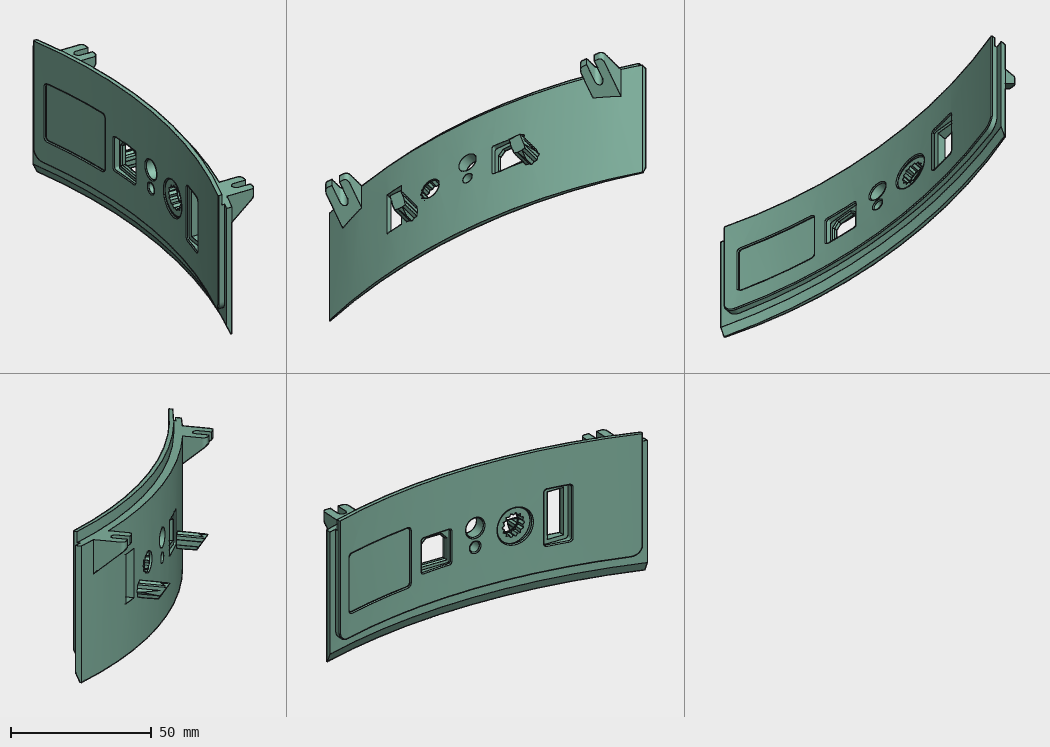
import cadquery as cq
import math


base_length = 135.5
base_height = 51.8
base_front_mid, base_front_radius = 12.2, 222.2
base_back_mid, base_back_radius = 15.2, 207.3
bottom_bevel_height = 3.7
bottom_bevel_depth = 1.6

panel_length = 129.5
panel_bottom = 7.7
panel_top = 56.0
panel_mid, panel_radius = 10.3, 206.0
panel_back_mid, panel_back_radius = 12.0, 203.2
panel_corner_radius = 4.3
rim_bevel = 0.4

screen_x, screen_z = -44.2, 29.0
screen_length, screen_height = 30.4, 23.0
screen_corner = 1.4
screen_depth = 0.7

socket_x, socket_z = -17.1, 27.5
socket_recess_length, socket_recess_height = 13.1, 13.4
socket_window_length, socket_window_height = 10.2, 10.0
socket_corner = 0.8
socket_clip = 2.0
socket_front_floor = 11.2
socket_back_floor = 13.0
socket_window_bevel = 0.5

slot_x, slot_z = 33.6, 29.0
slot_recess_length, slot_recess_height = 10.6, 22.0
slot_window_length, slot_window_height = 6.9, 18.7
slot_corner = 1.1
slot_floor = 9.3

large_hole_diameter, large_hole_z = 7.5, 31.8
small_hole_diameter, small_hole_z = 4.0, 24.3

spline_x, spline_z = 16.5, 28.5
spline_minor_diameter = 8.0
spline_major_diameter = 9.5
spline_teeth = 14
spline_floor = 13.8
counterbore_diameter = 14.0
counterbore_floor = 10.6

root_y = base_front_mid + 1.4

arm_x = 55.1
arm_width = 10.2
arm_tip = 17.9
arm_tip_height = 3.0
arm_slope = 0.86
arm_corner_radius = 1.6
fork_width = 3.3
fork_bottom = 11.4

post_spacing = 51.8
post_middle_x = -0.8
post_z = 21.3
post_diameter = 6.6
post_root_diameter = 5.4
post_teeth = 8
post_flat = 2.6
post_tip = 24.1
post_side_taper = 1.1
post_bevel_start = 21.0
post_tip_z = 23.5
post_slant_z = 18.7
post_under_start = 17.0

far = 81.3


def arc_end(mid, radius):
    """Y of an arc at the two ends of the base plate."""
    half = base_length / 2
    return mid - radius + math.sqrt(radius**2 - half**2)


def arc_band(front_mid, front_radius, back_mid, back_radius, height):
    """Full-length plate between two arcs in plan, standing on Z = 0."""
    half = base_length / 2
    return (
        cq.Workplane("XY")
        .moveTo(-half, arc_end(front_mid, front_radius))
        .threePointArc((0, front_mid), (half, arc_end(front_mid, front_radius)))
        .lineTo(half, arc_end(back_mid, back_radius))
        .threePointArc((0, back_mid), (-half, arc_end(back_mid, back_radius)))
        .close()
        .extrude(height)
    )


def front_plane(x, z):
    """Sketch plane at Y = 0 with local x along X and local y along Z."""
    return cq.Workplane("XZ", origin=(x, 0, z))


def prism(x, z, length, height, corner=0.0):
    """Box along Y with optionally rounded corners."""
    body = front_plane(x, z).rect(length, height).extrude(far, both=True)
    if corner:
        body = body.edges("|Y").fillet(corner)
    return body


def round_prism(x, z, diameter):
    """Cylinder along Y."""
    return front_plane(x, z).circle(diameter / 2).extrude(far, both=True)


def spline_points(root_diameter, tip_diameter, teeth):
    """Sawtooth ring alternating between the two diameters."""
    points = []
    for i in range(2 * teeth):
        radius = (tip_diameter if i % 2 == 0 else root_diameter) / 2
        angle = math.pi * i / teeth
        points.append((radius * math.cos(angle), radius * math.sin(angle)))
    return points


def curved_recess(outline, depth):
    """Part of a prism in front of the panel face moved back by depth."""
    in_front = arc_band(panel_mid - far, panel_radius, panel_mid + depth, panel_radius, panel_top)
    return outline.intersect(in_front)


def flat_recess(outline, floor):
    """Part of a prism in front of the plane Y = floor."""
    in_front = cq.Workplane("XZ", origin=(0, floor, 0)).rect(2 * far, 2 * far).extrude(far)
    return outline.intersect(in_front)


def bottom_bevel():
    """Cone around the axis of the front arc that bevels the lower front edge."""
    axis_y = base_front_mid - base_front_radius
    return (
        cq.Workplane("XZ", origin=(0, axis_y, 0))
        .polyline(
            [
                (0, 0),
                (base_front_radius + bottom_bevel_depth, 0),
                (base_front_radius, bottom_bevel_height),
                (0, bottom_bevel_height),
            ]
        )
        .close()
        .revolve(360, (0, 0), (0, 1))
    )


def base_plate():
    """Arched plate with its lower front edge bevelled."""
    plate = arc_band(base_front_mid, base_front_radius, base_back_mid, base_back_radius, base_height)
    return plate.cut(bottom_bevel())


def raised_panel():
    """Panel in front of the base plate, with a free lip above it."""
    height = panel_top - panel_bottom
    outline = prism(0, panel_bottom + height / 2, panel_length, height)
    outline = outline.edges("|Y and <Z").fillet(panel_corner_radius)
    lip = arc_band(panel_mid, panel_radius, panel_back_mid, panel_back_radius, panel_top)
    body = arc_band(panel_mid, panel_radius, base_front_mid, base_front_radius, base_height)
    return lip.union(body).intersect(outline)


def socket_window():
    """Window through the socket web, clipped at its two upper corners."""
    window = prism(socket_x, socket_z, socket_window_length, socket_window_height)
    return window.edges("|Y and >Z").chamfer(socket_clip)


def bevel_socket_window(body):
    """Bevel the window where it opens into the floor of the front recess."""
    floor_centre = (socket_x, socket_front_floor, socket_z)
    floor = body.faces(cq.selectors.NearestToPointSelector(floor_centre))
    rim = cq.Workplane(floor.val().innerWires()[0])
    return body.newObject(rim.edges().vals()).chamfer(socket_window_bevel)


def cut_openings(body):
    """Cut the recesses, windows and holes through the panel and base plate."""
    screen = prism(screen_x, screen_z, screen_length, screen_height, screen_corner)
    body = body.cut(curved_recess(screen, screen_depth))

    socket = prism(socket_x, socket_z, socket_recess_length, socket_recess_height, socket_corner)
    body = body.cut(flat_recess(socket, socket_front_floor))
    body = body.cut(socket.cut(flat_recess(socket, socket_back_floor)))
    body = bevel_socket_window(body.cut(socket_window()))

    slot = prism(slot_x, slot_z, slot_recess_length, slot_recess_height, slot_corner)
    body = body.cut(flat_recess(slot, slot_floor))
    body = body.cut(prism(slot_x, slot_z, slot_window_length, slot_window_height))

    body = body.cut(round_prism(0, large_hole_z, large_hole_diameter))
    body = body.cut(round_prism(0, small_hole_z, small_hole_diameter))

    counterbore = round_prism(spline_x, spline_z, counterbore_diameter)
    body = body.cut(flat_recess(counterbore, counterbore_floor))
    teeth = spline_points(spline_minor_diameter, spline_major_diameter, spline_teeth)
    splines = front_plane(spline_x, spline_z).polyline(teeth).close().extrude(far, both=True)
    body = body.cut(flat_recess(splines, spline_floor))
    return body.cut(round_prism(spline_x, spline_z, spline_minor_diameter))


def bevel_panel_rim(body):
    """Bevel the outline of the panel, except its top, and every opening in its face."""
    face = body.faces(cq.selectors.NearestToPointSelector((0, panel_mid - far, panel_top / 2)))
    rim = face.edges().filter(lambda edge: edge.Center().z < panel_top - rim_bevel)
    return rim.chamfer(rim_bevel)


def forked_arm(x):
    """Arm with an open-ended fork and a sloping underside, reaching back from the plate."""
    plan = (
        cq.Workplane("XY")
        .center(x, arm_tip - far / 2)
        .rect(arm_width, far)
        .extrude(base_height)
        .edges("|Z and >Y")
        .fillet(arm_corner_radius)
    )
    tip_bottom = base_height - arm_tip_height
    reach = tip_bottom / arm_slope
    side = (
        cq.Workplane("YZ")
        .polyline(
            [
                (arm_tip, base_height),
                (arm_tip, tip_bottom),
                (arm_tip - reach, 0),
                (arm_tip - reach, base_height),
            ]
        )
        .close()
        .extrude(far, both=True)
    )
    slot_centre = fork_bottom + fork_width / 2
    slot = (
        cq.Workplane("XY")
        .center(x, slot_centre + far / 2)
        .rect(fork_width, far)
        .extrude(base_height)
        .union(cq.Workplane("XY").center(x, slot_centre).circle(fork_width / 2).extrude(base_height))
    )
    behind = arc_band(root_y, base_front_radius, root_y + far, base_front_radius, base_height)
    return plan.intersect(side).intersect(behind).cut(slot)


def splined_post(x, outward):
    """Splined post with a flat inner side and a slanted tip; outward is -1 or 1 along X."""
    ring = spline_points(post_root_diameter, post_diameter, post_teeth)
    post = front_plane(x, post_z).polyline(ring).close().extrude(-post_tip)
    radius = post_diameter / 2
    plan = (
        cq.Workplane("XY")
        .polyline(
            [
                (x - outward * post_flat, root_y),
                (x + outward * radius, root_y),
                (x + outward * radius, base_back_mid),
                (x + outward * (radius - post_side_taper), post_tip),
                (x - outward * post_flat, post_tip),
            ]
        )
        .close()
        .extrude(panel_top)
    )
    side = (
        cq.Workplane("YZ")
        .polyline(
            [
                (root_y, post_z + radius),
                (post_bevel_start, post_z + radius),
                (post_tip, post_tip_z),
                (post_bevel_start, post_slant_z),
                (post_under_start, post_z - radius),
                (root_y, post_z - radius),
            ]
        )
        .close()
        .extrude(far, both=True)
    )
    return post.intersect(plan).intersect(side)


result = base_plate().union(raised_panel())
result = cut_openings(result)
result = bevel_panel_rim(result)
for side in (-1, 1):
    result = result.union(forked_arm(side * arm_x))
    result = result.union(splined_post(post_middle_x + side * post_spacing / 2, side))